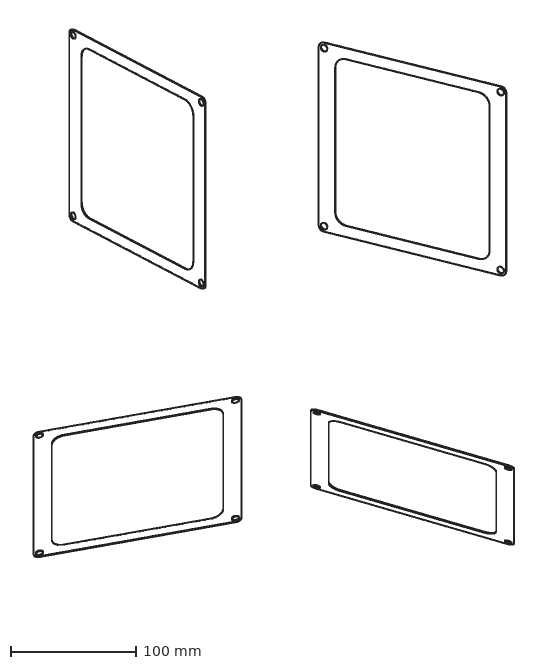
import cadquery as cq

side = 170.0
thickness = 1.0
corner_radius = 5.0
hole_diameter = 6.0

side_border = 15.0
end_border = 10.0
window_width = side - 2 * side_border
window_height = side - 2 * end_border
window_radius = 10.0

hole_spacing = side - 2 * corner_radius


def rounded_plate(width, height, radius):
    """Rectangular plate centred on the origin with rounded corners."""
    return (
        cq.Workplane("XZ")
        .rect(width, height)
        .extrude(thickness / 2, both=True)
        .edges("|Y")
        .fillet(radius)
    )


plate = rounded_plate(side, side, corner_radius)
window = rounded_plate(window_width, window_height, window_radius)

holes = (
    cq.Workplane("XZ")
    .rect(hole_spacing, hole_spacing, forConstruction=True)
    .vertices()
    .circle(hole_diameter / 2)
    .extrude(thickness / 2, both=True)
)

result = plate.cut(window).cut(holes)